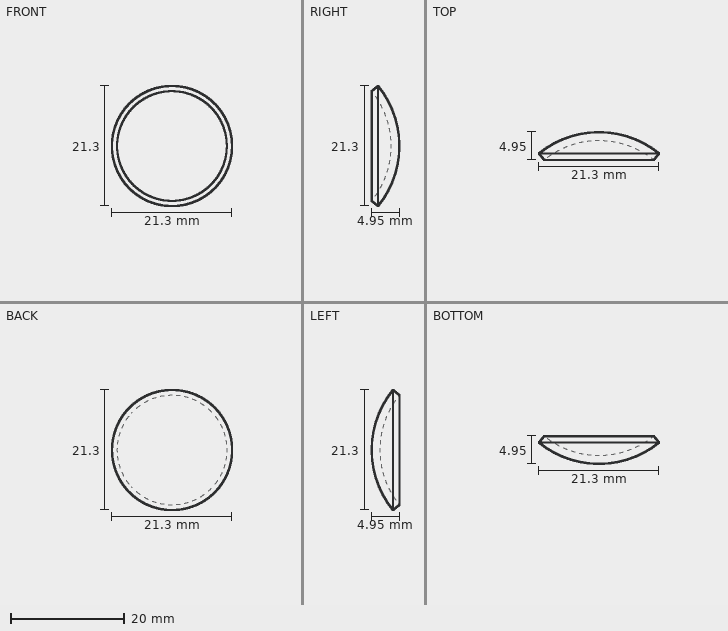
import cadquery as cq
import math

rim_diameter = 21.3
outer_sphere_radius = 16.87
wall_thickness = 1.5

inner_sphere_radius = outer_sphere_radius - wall_thickness
rim_angle = math.asin(rim_diameter / 2 / outer_sphere_radius)


def on_sphere(radius, angle):
    """Point (distance from axis, Y) at the given angle from the +Y axis."""
    return (radius * math.sin(angle), radius * math.cos(angle))


half_section = (
    cq.Workplane("XY")
    .moveTo(*on_sphere(outer_sphere_radius, 0))
    .threePointArc(
        on_sphere(outer_sphere_radius, rim_angle / 2),
        on_sphere(outer_sphere_radius, rim_angle),
    )
    .lineTo(*on_sphere(inner_sphere_radius, rim_angle))
    .threePointArc(
        on_sphere(inner_sphere_radius, rim_angle / 2),
        on_sphere(inner_sphere_radius, 0),
    )
    .close()
)

result = half_section.revolve(360, (0, 0, 0), (0, 1, 0))